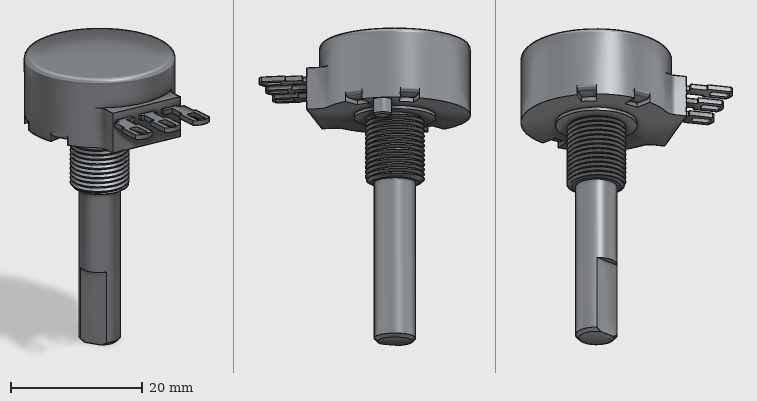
import cadquery as cq
import math


join_overlap = 0.5
cut_margin = 1.0

body_radius = 11.5
body_height = 11.0
body_edge_radius = 0.8
wall_face_x = 12.5
wall_half_width = 6.25
wall_height = 6.5
wall_blend_radius = 2.0

tab_start_angle = 15.0
tab_sweep_angle = 15.0
tab_bend_radius = 0.8
tab_bend_top = 1.5
recess_inner_radius = 8.75

flange_radius = 6.2
flange_thickness = 0.5
bushing_bottom = -10.6
thread_radius = 4.5
thread_pitch = 0.75
thread_root_radius = 4.05
thread_root_gap = 0.04
thread_crest_z = -1.43
thread_end_chamfer_height = 0.5
thread_end_chamfer_width = 0.9
thread_root_overlap = 0.1
thread_base_step = 0.03

shaft_radius = 3.175
shaft_bottom = -35.5
shaft_end_chamfer = 0.5
flat_length = 12.0
flat_distance = 2.3
flat_direction = -60.0

pin_radius = 1.4
pin_y = 10.0
pin_length = 2.5
pin_end_chamfer = 0.25

terminal_bottom = 4.5
terminal_thickness = 0.75
terminal_pitch = 5.33
root_end_x = 13.2
neck_end_x = 15.75
eye_corner_x = 19.4
terminal_tip_x = 20.0
root_width = 2.8
outer_root_inset = 1.17
outer_neck_width = 2.2
middle_neck_width = 1.8
eye_width = 3.0
slot_start_x = 16.6
slot_end_x = 19.5
slot_width = 1.4
slot_corner_radius = 0.2


def cylinder(radius, bottom, top):
    return cq.Workplane("XY").workplane(offset=bottom).circle(radius).extrude(top - bottom)


def make_body():
    """Round can with a rounded top edge."""
    profile = cq.Workplane("YZ").moveTo(0, 0).lineTo(-body_radius, 0).lineTo(-body_radius, body_height)
    can = profile.lineTo(0, body_height).close().revolve(360, (0, 0), (0, 1))
    return can.faces(">Z").edges().fillet(body_edge_radius)


def make_terminal_wall():
    """Flat-faced wall on the +X side, blended into the can by concave arcs."""
    blend_center_y = wall_half_width + wall_blend_radius
    center_distance = body_radius + wall_blend_radius
    flat_start_x = math.sqrt(center_distance**2 - blend_center_y**2)
    can_ratio = body_radius / center_distance
    can_x = flat_start_x * can_ratio
    can_y = blend_center_y * can_ratio
    to_can = math.atan2(can_y - blend_center_y, can_x - flat_start_x)
    middle_angle = (to_can - math.pi / 2) / 2
    arc_x = flat_start_x + wall_blend_radius * math.cos(middle_angle)
    arc_y = blend_center_y + wall_blend_radius * math.sin(middle_angle)
    return (
        cq.Workplane("XY")
        .moveTo(0, can_y)
        .lineTo(can_x, can_y)
        .threePointArc((arc_x, arc_y), (flat_start_x, wall_half_width))
        .lineTo(wall_face_x, wall_half_width)
        .lineTo(wall_face_x, -wall_half_width)
        .lineTo(flat_start_x, -wall_half_width)
        .threePointArc((arc_x, -arc_y), (can_x, -can_y))
        .lineTo(0, -can_y)
        .close()
        .extrude(wall_height)
    )


def make_tab_recess(start_angle):
    """Wedge removed below one folded tab, leaving the rounded bend of the tab above it."""
    outside = body_radius + cut_margin
    ceiling = tab_bend_top - tab_bend_radius
    bend_start = body_radius - tab_bend_radius
    bend_middle = (
        bend_start + tab_bend_radius * math.sin(math.pi / 4),
        tab_bend_top - tab_bend_radius * math.cos(math.pi / 4),
    )
    wedge = (
        cq.Workplane("XZ")
        .moveTo(recess_inner_radius, 0)
        .lineTo(outside, 0)
        .lineTo(outside, tab_bend_top)
        .lineTo(body_radius, tab_bend_top)
        .threePointArc(bend_middle, (bend_start, ceiling))
        .lineTo(recess_inner_radius, ceiling)
        .close()
        .revolve(tab_sweep_angle, (0, 0), (0, 1))
    )
    return wedge.rotate((0, 0, 0), (0, 0, 1), start_angle)


def make_thread_ridge():
    """V-shaped right-hand ridge, long enough to run past both ends of the bushing."""
    turns_below = math.ceil((thread_crest_z - bushing_bottom) / thread_pitch) + 1
    start_z = thread_crest_z - turns_below * thread_pitch
    ridge_length = -flange_thickness - start_z
    half_base = (thread_pitch - thread_root_gap) / 2
    inner_radius = thread_root_radius - thread_root_overlap
    flank_radius = thread_root_radius + thread_base_step
    helix = cq.Wire.makeHelix(thread_pitch, ridge_length, thread_radius, cq.Vector(0, 0, start_z))
    return (
        cq.Workplane("XZ")
        .moveTo(inner_radius, start_z - half_base)
        .lineTo(flank_radius, start_z - half_base)
        .lineTo(thread_radius, start_z)
        .lineTo(flank_radius, start_z + half_base)
        .lineTo(inner_radius, start_z + half_base)
        .close()
        .sweep(cq.Workplane("XY").newObject([helix]), isFrenet=True)
    )


def make_bushing():
    """Threaded bushing with a chamfered lower end, under the mounting flange."""
    envelope = cylinder(thread_radius + thread_root_overlap, bushing_bottom, 0)
    envelope = envelope.faces("<Z").chamfer(thread_end_chamfer_height, thread_end_chamfer_width)
    core = cylinder(thread_root_radius, bushing_bottom, 0)
    threaded = core.union(make_thread_ridge()).intersect(envelope)
    return threaded.union(cylinder(flange_radius, -flange_thickness, 0))


def make_shaft():
    """Round shaft with a chamfered end and one flat, cut facing +Y and then turned into place."""
    shaft = cylinder(shaft_radius, shaft_bottom, 0).faces("<Z").chamfer(shaft_end_chamfer)
    flat_cut = (
        cq.Workplane("XY")
        .workplane(offset=shaft_bottom)
        .moveTo(0, flat_distance + shaft_radius)
        .rect(2 * shaft_radius, 2 * shaft_radius)
        .extrude(flat_length)
    )
    shaft = shaft.cut(flat_cut)
    return shaft.rotate((0, 0, 0), (0, 0, 1), flat_direction - 90)


def make_pin():
    """Round locating pin under the body, with a chamfered end."""
    pin = cylinder(pin_radius, -pin_length, join_overlap).faces("<Z").chamfer(pin_end_chamfer)
    return pin.translate((0, pin_y, 0))


def make_strip(start_x, end_x, center_y, width):
    """Flat terminal strip along X."""
    length = end_x - start_x
    strip = cq.Workplane("XY").box(length, width, terminal_thickness, centered=(False, True, False))
    return strip.translate((start_x, center_y, terminal_bottom))


def make_terminal(side):
    """Solder terminal; side is -1, 0 or 1 for its position along Y."""
    center_y = side * terminal_pitch
    root_y = side * (terminal_pitch - outer_root_inset)
    neck_width = outer_neck_width if side else middle_neck_width
    inside_x = wall_face_x - join_overlap
    eye = (
        cq.Workplane("XY")
        .workplane(offset=terminal_bottom)
        .moveTo(neck_end_x, center_y - eye_width / 2)
        .lineTo(eye_corner_x, center_y - eye_width / 2)
        .threePointArc((terminal_tip_x, center_y), (eye_corner_x, center_y + eye_width / 2))
        .lineTo(neck_end_x, center_y + eye_width / 2)
        .close()
        .extrude(terminal_thickness)
    )
    slot = make_strip(slot_start_x, slot_end_x, center_y, slot_width)
    slot = slot.edges("|Z").fillet(slot_corner_radius)
    root = make_strip(inside_x, root_end_x, root_y, root_width)
    neck = make_strip(root_end_x, neck_end_x, center_y, neck_width)
    return root.union(neck).union(eye).cut(slot)


result = make_body().union(make_terminal_wall())

for axis_angle in (90, 270):
    for first_angle in (tab_start_angle, -tab_start_angle - tab_sweep_angle):
        result = result.cut(make_tab_recess(axis_angle + first_angle))

for terminal_side in (-1, 0, 1):
    result = result.union(make_terminal(terminal_side))

result = result.union(make_pin()).union(make_shaft()).union(make_bushing())